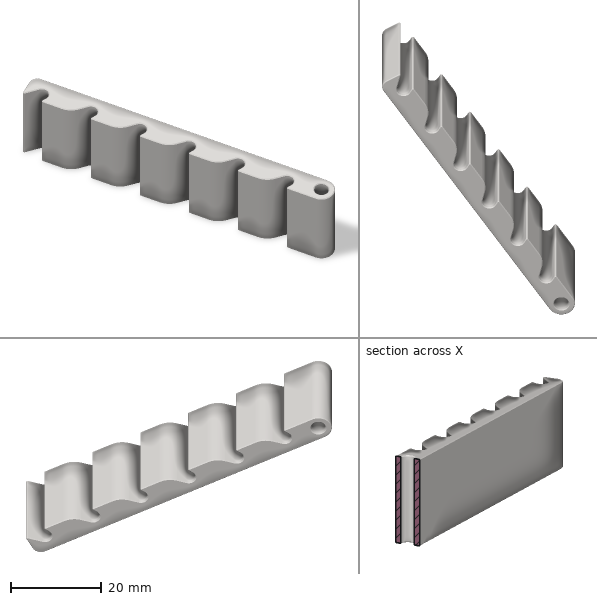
import cadquery as cq
import math

length = 75.0
thickness = 6.0
width = 20.0

slot_count = 6
slot_pitch = 12.0
slot_radius = 1.5
first_slot_x = 4.05
slot_center_y = -1.0
ramp_angle = 45.0
lip_angle = 62.0

back_corner_radius = 2.0
tip_radius = 0.3
ramp_foot_radius = 5.0

hole_diameter = 3.2

edge_chamfer = 0.2

half_thickness = thickness / 2
back_y = half_thickness
front_y = -half_thickness
pivot_x = length - half_thickness

ramp = math.radians(ramp_angle)
lip = math.radians(lip_angle)


def on_circle(center, radius, angle):
    return (center[0] + radius * math.cos(angle), center[1] + radius * math.sin(angle))


def add_slot(profile, center_x):
    """Continue the profile up the ramp, around the slot, down the lip and over the hook tip."""
    center = (center_x, slot_center_y)
    ramp_touch = on_circle(center, slot_radius, ramp + math.pi / 2)
    lip_touch_angle = lip - math.pi / 2
    lip_touch = on_circle(center, slot_radius, lip_touch_angle)
    slot_middle = on_circle(center, slot_radius, (ramp + lip) / 2)

    corner_x = lip_touch[0] - (lip_touch[1] - front_y) / math.tan(lip)
    tangent_length = tip_radius / math.tan(lip / 2)
    round_start = (
        corner_x + tangent_length * math.cos(lip),
        front_y + tangent_length * math.sin(lip),
    )
    round_end = (corner_x + tangent_length, front_y)
    round_center = (round_end[0], front_y + tip_radius)
    round_middle = on_circle(round_center, tip_radius, lip / 2 - math.pi)
    return (
        profile.lineTo(*ramp_touch)
        .threePointArc(slot_middle, lip_touch)
        .lineTo(*round_start)
        .threePointArc(round_middle, round_end)
    )


def ramp_x_at(center_x, y):
    """X at which the ramp line of the slot at center_x passes y."""
    touch = on_circle((center_x, slot_center_y), slot_radius, ramp + math.pi / 2)
    return touch[0] + (y - touch[1]) / math.tan(ramp)


def add_ramp_foot(profile, center_x):
    """Run along the front face and blend into the ramp of the slot at center_x."""
    tangent_length = ramp_foot_radius * math.tan(ramp / 2)
    corner_x = ramp_x_at(center_x, front_y)
    start_x = corner_x - tangent_length
    end = (corner_x + tangent_length * math.cos(ramp), front_y + tangent_length * math.sin(ramp))
    center = (start_x, front_y + ramp_foot_radius)
    middle = on_circle(center, ramp_foot_radius, (ramp - math.pi) / 2)
    return profile.lineTo(start_x, front_y).threePointArc(middle, end)


def build_profile():
    corner_y = front_y - ramp_x_at(first_slot_x, front_y) * math.tan(ramp)
    opening = math.pi / 2 - ramp
    tip_center = (tip_radius, corner_y + tip_radius / math.tan(opening / 2))
    tip_end_angle = ramp - math.pi / 2
    tip_mid_angle = (tip_end_angle - math.pi) / 2

    profile = (
        cq.Workplane("XY")
        .moveTo(0, tip_center[1])
        .threePointArc(
            on_circle(tip_center, tip_radius, tip_mid_angle),
            on_circle(tip_center, tip_radius, tip_end_angle),
        )
    )
    for index in range(slot_count):
        center_x = first_slot_x + index * slot_pitch
        if index > 0:
            profile = add_ramp_foot(profile, center_x)
        profile = add_slot(profile, center_x)

    corner_center = (back_corner_radius, back_y - back_corner_radius)
    return (
        profile.lineTo(pivot_x, front_y)
        .threePointArc((length, 0), (pivot_x, back_y))
        .lineTo(back_corner_radius, back_y)
        .threePointArc(
            on_circle(corner_center, back_corner_radius, 3 * math.pi / 4),
            (0, corner_center[1]),
        )
        .close()
    )


pivot_hole = cq.Workplane("XY").center(pivot_x, 0).circle(hole_diameter / 2).extrude(width)
body = build_profile().extrude(width).cut(pivot_hole)
result = body.faces("<Z or >Z").chamfer(edge_chamfer)